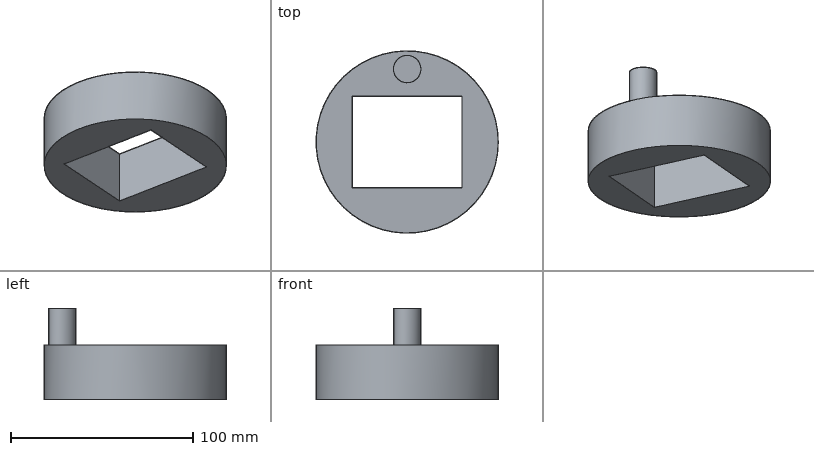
import cadquery as cq

disc_diameter = 100.0
disc_height = 30.0

window_length_x = 60.0
window_width_y = 50.0

pin_diameter = 15.0
pin_height = 20.0
pin_offset_y = 40.0


def make_disc():
    """Round disc standing on the XY plane."""
    return cq.Workplane("XY").circle(disc_diameter / 2).extrude(disc_height)


def cut_window(body):
    """Cut the rectangular window through the full height of the disc."""
    return body.faces(">Z").workplane().rect(window_length_x, window_width_y).cutThruAll()


def add_pin(body):
    """Join the cylindrical pin to the top face of the disc."""
    pin = (
        cq.Workplane("XY", origin=(0, pin_offset_y, disc_height))
        .circle(pin_diameter / 2)
        .extrude(pin_height)
    )
    return body.union(pin)


result = add_pin(cut_window(make_disc()))